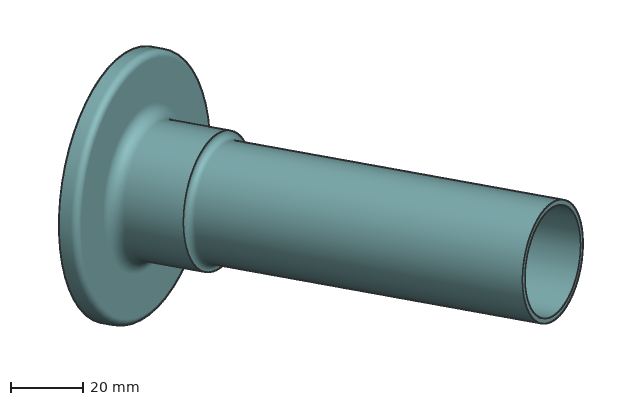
import cadquery as cq

length = 135.0
bore_diameter = 32.0
tube_diameter = 35.0
collar_diameter = 40.0
flange_diameter = 78.0
flange_thickness = 6.0
collar_end = 29.0
rim_radius = 2.0
flange_fillet = 4.0
tube_fillet = 2.0


def cylinder(diameter, start, end):
    """Solid cylinder along X between two positions."""
    return cq.Workplane("YZ").workplane(offset=start).circle(diameter / 2).extrude(end - start)


def circle_at(position, diameter):
    """Selector for the circular edge of the given diameter at an X position."""
    margin = 0.1
    reach = diameter / 2 + margin
    return cq.selectors.BoxSelector(
        (position - margin, -reach, -reach),
        (position + margin, reach, reach),
        boundingbox=True,
    )


flange = cylinder(flange_diameter, 0, flange_thickness)
collar = cylinder(collar_diameter, 0, collar_end)
tube = cylinder(tube_diameter, 0, length)
body = flange.union(collar).union(tube)

body = body.edges(circle_at(flange_thickness, collar_diameter)).fillet(flange_fillet)
body = body.edges(circle_at(collar_end, tube_diameter)).fillet(tube_fillet)

body = body.edges(cq.selectors.RadiusNthSelector(-1)).edges(">X").fillet(rim_radius)

result = body.cut(cylinder(bore_diameter, 0, length))